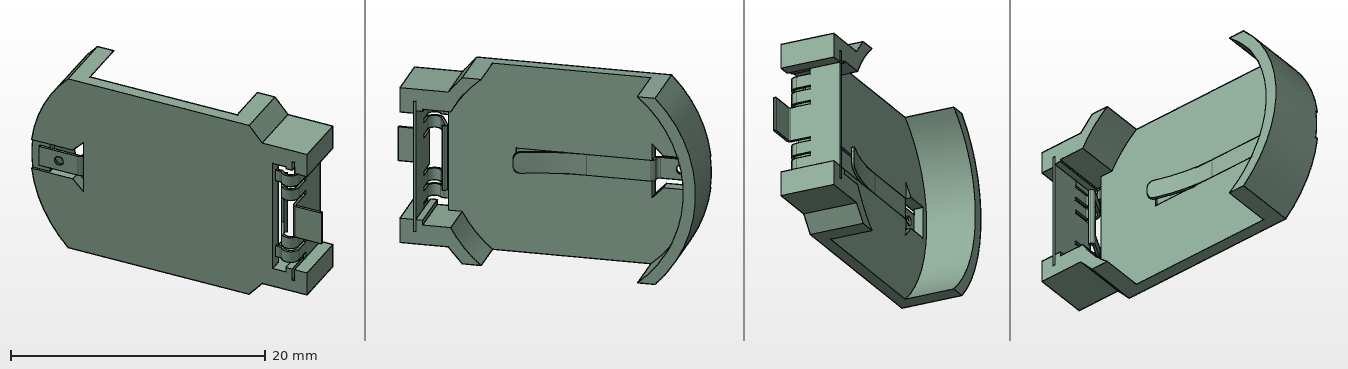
import cadquery as cq
import math

half_width = 7.85
floor_thickness = 1.02
left_wall_top = 5.3
right_block_top = 4.67

nose_length = 3.28
pocket_centre = 11.12
pocket_radius = 10.13
pocket_half_chord = math.sqrt(pocket_radius**2 - half_width**2)
side_gap_start = pocket_centre - pocket_half_chord
side_gap_end = pocket_centre + pocket_half_chord

shoulder_start = 19.07
shoulder_end = 20.2
arm_outer = 6.53
arm_end = 24.12

window_start = 21.12
window_half_width = 4.87
step_start = 22.27
upper_step_z = 4.7
arm_tip_inner = 4.47

sheet = 0.2
half_sheet = sheet / 2

seat_half_width = 1.333
seat_end = 1.6
flare_start = 3.68
flare_end = 4.6
flare_half_width = 2.25

base_width = 1.75
base_start = 0.7
base_bend_start = 4.15
base_bend_radius = flare_end - half_sheet - base_bend_start
base_hole_x = 2.46
base_hole_diameter = 0.75
tight_bend_radius = 0.2
spring_start = 9.9
spring_radius = 15.85
spring_angle = 21.2
spring_corner_radius = 0.58

plate_x = 22.93
plate_half_width = 5.48
plate_front = 2.03
tab_half_width = 1.42
tab_end = 25.4
finger_gap = 0.3
finger_width = 1.0
inner_finger_z = tab_half_width + finger_gap
outer_finger_z = inner_finger_z + finger_width + finger_gap
finger_front = 0.1
finger_bend_radius = 0.63
finger_bend_y = finger_front + half_sheet + finger_bend_radius
leg_tilt = 64
leg_length = 1.57
lip_tilt = 25
lip_length = 0.18
foot_tilt = 52
foot_bend_radius = 0.3
foot_clearance = 0.03


def box(x_range, y_range, z_range):
    """Box between the given limits."""
    size = [high - low for low, high in (x_range, y_range, z_range)]
    corner = (x_range[0], y_range[0], z_range[0])
    return cq.Workplane("XY").box(*size, centered=False).translate(corner)


def front_prism(points, y_low, y_high):
    """Polygon of (x, z) points extruded from y_low to y_high."""
    outline = cq.Workplane("XZ", origin=(0, y_low, 0)).polyline(points).close()
    return outline.extrude(y_low - y_high)


def beside(point, heading, distance):
    """Point at a distance to the left of a heading in degrees."""
    turn = math.radians(heading + 90)
    return (point[0] + distance * math.cos(turn), point[1] + distance * math.sin(turn))


def walk(point, heading, segment):
    """Position and heading after a (length,) or a (bend radius, turn angle) segment."""
    if len(segment) == 1:
        return beside(point, heading - 90, segment[0]), heading
    radius, turn = segment
    to_centre = math.copysign(radius, turn)
    centre = beside(point, heading, to_centre)
    return beside(centre, heading + turn, -to_centre), heading + turn


def bent_strip(start, heading, segments, z_low, z_high):
    """Sheet strip whose centre line follows the segments in the XY plane."""
    stations = [(start, heading)]
    for segment in segments:
        stations.append(walk(*stations[-1], segment))

    def trace(outline, index, side, target):
        """Follow one segment on one side of the sheet to the target station."""
        end = beside(*stations[target], side)
        segment = segments[index]
        if len(segment) == 1:
            return outline.lineTo(*end)
        half_bend = (segment[0], segment[1] / 2)
        middle = beside(*walk(*stations[index], half_bend), side)
        return outline.threePointArc(middle, end)

    outline = cq.Workplane("XY", origin=(0, 0, z_low)).moveTo(*beside(start, heading, half_sheet))
    for index in range(len(segments)):
        outline = trace(outline, index, half_sheet, index + 1)
    outline = outline.lineTo(*beside(*stations[-1], -half_sheet))
    for index in reversed(range(len(segments))):
        outline = trace(outline, index, -half_sheet, index)
    return outline.close().extrude(z_high - z_low)


def make_base_contact():
    """Strip from the seat through the floor, ending in a rising spring tongue."""
    rise_end = floor_thickness - half_sheet - tight_bend_radius
    channel_run_start = flare_end - half_sheet + tight_bend_radius
    segments = [
        (base_bend_start - base_start,),
        (base_bend_radius, 90),
        (rise_end - half_sheet - base_bend_radius,),
        (tight_bend_radius, -90),
        (spring_start - channel_run_start,),
        (spring_radius, spring_angle),
    ]
    strip = bent_strip((base_start, half_sheet), 0, segments, -base_width / 2, base_width / 2)
    strip = strip.faces(">X").edges("not |Z").fillet(spring_corner_radius)
    hole = cq.Workplane("XZ").center(base_hole_x, 0).circle(base_hole_diameter / 2).extrude(-sheet)
    return strip.cut(hole)


def make_finger(z_low, z_high, segments):
    """Finger running forward from the plate, round the front bend and on."""
    approach = [(plate_front - finger_bend_y,)]
    return bent_strip((plate_x, plate_front), -90, approach + segments, z_low, z_high)


def make_side_contact():
    """Plate held in the arms, with a solder tab and four spring fingers."""
    contact = box(
        (plate_x - half_sheet, plate_x + half_sheet),
        (plate_front, right_block_top),
        (-plate_half_width, plate_half_width),
    )

    tab_segments = [
        (plate_front - half_sheet - tight_bend_radius,),
        (tight_bend_radius, 90),
        (tab_end - plate_x - tight_bend_radius,),
    ]
    tab = bent_strip((plate_x, plate_front), -90, tab_segments, -tab_half_width, tab_half_width)
    contact = contact.union(tab)

    leg_segments = [(finger_bend_radius, -90 - leg_tilt), (leg_length,)]
    foot_sine = math.sin(math.radians(foot_tilt))
    foot_start = plate_x - finger_bend_radius * (1 + foot_sine) - foot_bend_radius * foot_sine
    foot_segments = [
        (finger_bend_radius, -90 - foot_tilt),
        (foot_bend_radius, foot_tilt),
        (foot_start - window_start - foot_clearance,),
    ]
    for near_z, segments in ((inner_finger_z, leg_segments), (outer_finger_z, foot_segments)):
        far_z = near_z + finger_width
        contact = contact.union(make_finger(near_z, far_z, segments))
        contact = contact.union(make_finger(-far_z, -near_z, segments))

    station = ((plate_x, finger_bend_y), -90)
    for segment in leg_segments:
        station = walk(*station, segment)
    lip_turn = lip_tilt - (180 - leg_tilt)
    lip_segments = [(tight_bend_radius, lip_turn), (lip_length,)]
    lip_half_width = inner_finger_z + finger_width
    return contact.union(bent_strip(*station, lip_segments, -lip_half_width, lip_half_width))


def make_housing_blank():
    """Outer shape: rounded end, flat sides, sloped shoulders and two arms."""
    outline = (
        cq.Workplane("XZ")
        .moveTo(nose_length, -half_width)
        .threePointArc((0, 0), (nose_length, half_width))
        .lineTo(shoulder_start, half_width)
        .lineTo(shoulder_end, arm_outer)
        .lineTo(arm_end, arm_outer)
        .lineTo(arm_end, -arm_outer)
        .lineTo(shoulder_end, -arm_outer)
        .lineTo(shoulder_start, -half_width)
        .close()
    )
    blank = outline.extrude(-left_wall_top)
    lowered_rim = box(
        (side_gap_end, arm_end), (right_block_top, left_wall_top), (-half_width, half_width)
    )
    return blank.cut(lowered_rim)


def make_coin_pocket():
    """Round coin pocket that breaks out through both flat sides."""
    pocket = cq.Workplane("XZ", origin=(0, floor_thickness, 0)).center(pocket_centre, 0)
    pocket = pocket.circle(pocket_radius).extrude(floor_thickness - left_wall_top)
    side_gap = box(
        (side_gap_start, side_gap_end), (floor_thickness, left_wall_top), (-half_width, half_width)
    )
    return pocket.union(side_gap)


def make_terminal_window():
    """Opening between the arms, joined to the coin pocket above the floor."""
    window = front_prism(
        [
            (window_start, window_half_width),
            (step_start, window_half_width),
            (step_start, upper_step_z),
            (plate_x, upper_step_z),
            (plate_x, arm_tip_inner),
            (arm_end, arm_tip_inner),
            (arm_end, -arm_tip_inner),
            (step_start, -arm_tip_inner),
            (step_start, -window_half_width),
            (window_start, -window_half_width),
        ],
        0,
        left_wall_top,
    )
    passage = box(
        (pocket_centre, window_start),
        (floor_thickness, left_wall_top),
        (-window_half_width, window_half_width),
    )
    return window.union(passage)


def make_plate_slots():
    """Slots in the arms that hold the edges of the side contact plate."""
    return box(
        (plate_x - half_sheet, plate_x + half_sheet),
        (0, right_block_top),
        (-plate_half_width, plate_half_width),
    )


def make_contact_opening():
    """Seat, flared opening and floor channel for the base contact."""
    seat = box((0, seat_end), (0, sheet), (-seat_half_width, seat_half_width))
    opening = front_prism(
        [
            (seat_end, seat_half_width),
            (flare_start, seat_half_width),
            (flare_end, flare_half_width),
            (flare_end, -flare_half_width),
            (flare_start, -seat_half_width),
            (seat_end, -seat_half_width),
        ],
        0,
        floor_thickness,
    )
    channel_end = spring_start + spring_radius * math.sin(math.radians(spring_angle))
    channel = box(
        (flare_end, channel_end),
        (floor_thickness - sheet, floor_thickness),
        (-base_width / 2, base_width / 2),
    )
    return seat.union(opening).union(channel)


base_contact = make_base_contact()
side_contact = make_side_contact()

housing = make_housing_blank()
housing = housing.cut(make_coin_pocket())
housing = housing.cut(make_terminal_window())
housing = housing.cut(make_plate_slots())
housing = housing.cut(make_contact_opening())
housing = housing.cut(base_contact)

bodies = [housing, base_contact, side_contact]
result = cq.Compound.makeCompound([body.solids().val() for body in bodies])